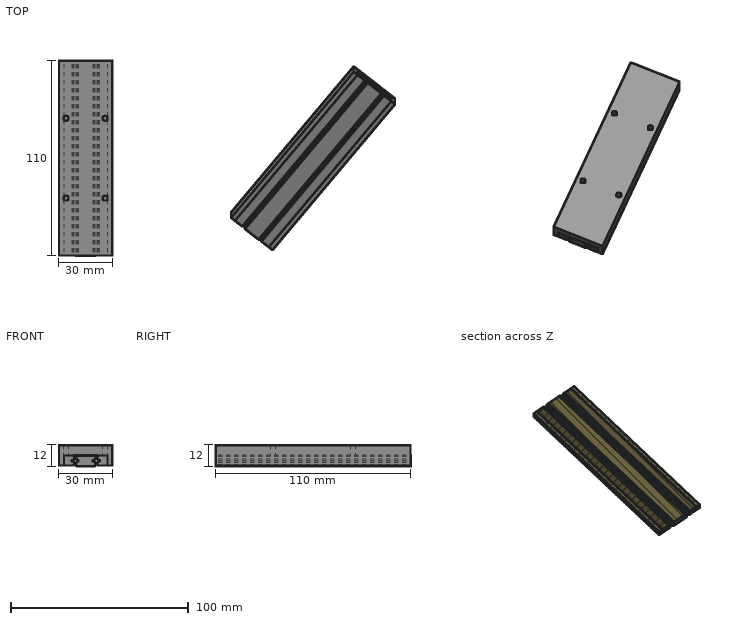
import cadquery as cq

length = 110.0
end_setback = 0.1
overall_height = 12.0
table_width = 30.0
table_underside = 0.4
rail_seat_depth = 5.9
rail_pocket_width = 24.5
relief_depth = 0.3
side_rail_gap = 13.0
centre_rail_width = 10.8
centre_rail_height = 6.0
rail_chamfer = 0.5

groove_half_height = 0.94
slot_half_height = 0.2
groove_z = 3.2
slot_reach = 1.3

hole_diameter = 2.9
hole_spacing_x = 22.0
hole_spacing_y = 45.0

table_length = length - 2 * end_setback
table_height = overall_height - table_underside
rail_seat_z = overall_height - rail_seat_depth
relief_width = side_rail_gap


def extrude_along_y(outline, body_length):
    """Extrude an XZ outline symmetrically about Y = 0."""
    return cq.Workplane("XZ").polyline(outline).close().extrude(body_length / 2, both=True)


def grooved_face(face_x, inward, bottom_z, top_z):
    """Outline of a grooved rail face from bottom to top; inward is the X sign pointing into the rail."""
    v_depth = groove_half_height - slot_half_height
    depth_and_height = [
        (rail_chamfer, bottom_z),
        (0, bottom_z + rail_chamfer),
        (0, groove_z - groove_half_height),
        (v_depth, groove_z - slot_half_height),
        (slot_reach, groove_z - slot_half_height),
        (slot_reach, groove_z + slot_half_height),
        (v_depth, groove_z + slot_half_height),
        (0, groove_z + groove_half_height),
        (0, top_z - rail_chamfer),
        (rail_chamfer, top_z),
    ]
    return [(face_x + inward * depth, z) for depth, z in depth_and_height]


def make_table():
    """Inverted channel with a rail pocket, a clearance relief and four mounting holes."""
    table = (
        cq.Workplane("XY", origin=(0, 0, table_underside))
        .box(table_width, table_length, table_height, centered=(True, True, False))
    )
    rail_pocket = (
        cq.Workplane("XY", origin=(0, 0, table_underside))
        .box(rail_pocket_width, table_length, rail_seat_z - table_underside, centered=(True, True, False))
    )
    relief = (
        cq.Workplane("XY", origin=(0, 0, rail_seat_z))
        .box(relief_width, table_length, relief_depth, centered=(True, True, False))
    )
    holes = (
        cq.Workplane("XY", origin=(0, 0, rail_seat_z))
        .rect(hole_spacing_x, hole_spacing_y, forConstruction=True)
        .vertices()
        .circle(hole_diameter / 2)
        .extrude(rail_seat_depth)
    )
    return table.cut(rail_pocket).cut(relief).cut(holes)


def make_side_rail(side):
    """Rail seated in the table pocket; side is -1 or +1 along X."""
    outer_x = side * rail_pocket_width / 2
    inner_face = grooved_face(side * side_rail_gap / 2, side, table_underside, rail_seat_z)
    outline = inner_face + [(outer_x, rail_seat_z), (outer_x, table_underside)]
    return extrude_along_y(outline, table_length)


def make_centre_rail():
    """Rail between the side rails, grooved on both faces."""
    right_face = grooved_face(centre_rail_width / 2, -1, 0, centre_rail_height)
    left_face = grooved_face(-centre_rail_width / 2, 1, 0, centre_rail_height)
    return extrude_along_y(right_face + left_face[::-1], length)


table = make_table()
side_rails = [make_side_rail(side) for side in (-1, 1)]
centre_rail = make_centre_rail()

result = cq.Compound.makeCompound([
    table.val(),
    *[rail.val() for rail in side_rails],
    centre_rail.val(),
])